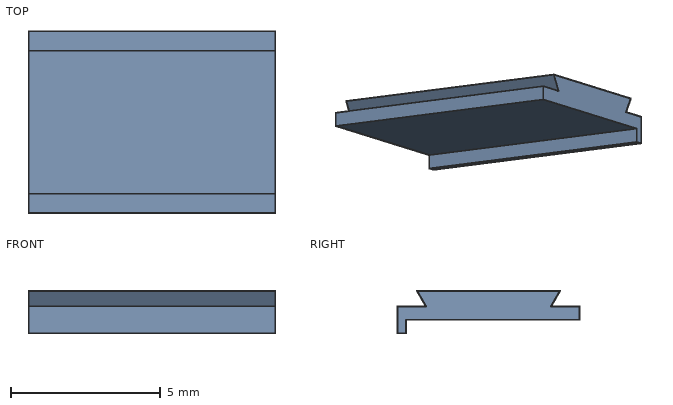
import cadquery as cq
import math

length = 8.26
width = 6.1
plate_thickness = 0.455

lip_drop = 0.455
lip_thickness = 0.29

rail_height = 0.51
rail_top_width = 4.79
flank_angle = 60.0

half_width = width / 2
plate_bottom = lip_drop
plate_top = plate_bottom + plate_thickness
rail_top = plate_top + rail_height
half_rail_top = rail_top_width / 2
half_rail_root = half_rail_top - rail_height / math.tan(math.radians(flank_angle))

section = [
    (-half_width, 0),
    (-half_width + lip_thickness, 0),
    (-half_width + lip_thickness, plate_bottom),
    (half_width, plate_bottom),
    (half_width, plate_top),
    (half_rail_root, plate_top),
    (half_rail_top, rail_top),
    (-half_rail_top, rail_top),
    (-half_rail_root, plate_top),
    (-half_width, plate_top),
]
result = cq.Workplane("YZ").polyline(section).close().extrude(length / 2, both=True)